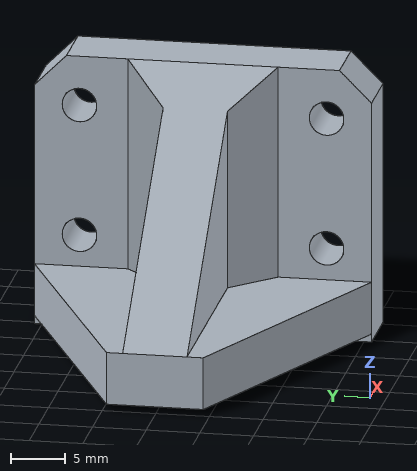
import cadquery as cq

total_length = 31.0
total_width = 31.4
total_height = 26.0
plate_thickness = 6.0
plate_chamfer = 2.98
base_thickness = 5.0
base_lift = 0.8
nose_width = 9.0
rib_width = 6.0
flare_length = 4.0
flare_width = 14.0
hole_diameter = 3.2
hole_spacing_y = 23.02
hole_spacing_z = 12.5
lower_hole_height = 8.8

plate_front = total_length - plate_thickness
base_top = base_lift + base_thickness


def symmetric_prism(half_outline, bottom, height):
    """Extrude upward a plan outline given by its (x, half width) points."""
    mirrored = [(x, -y) for x, y in reversed(half_outline)]
    return (
        cq.Workplane("XY")
        .workplane(offset=bottom)
        .polyline(half_outline + mirrored)
        .close()
        .extrude(height)
    )


def make_plate():
    """Upright plate with chamfered top corners and four through holes."""
    plate = (
        cq.Workplane("XY")
        .box(plate_thickness, total_width, total_height, centered=(False, True, False))
        .translate((plate_front, 0, 0))
        .edges("|X and >Z")
        .chamfer(plate_chamfer)
    )
    hole_centers = [
        (side * hole_spacing_y / 2, lower_hole_height + row * hole_spacing_z)
        for side in (-1, 1)
        for row in (0, 1)
    ]
    holes = (
        cq.Workplane("YZ")
        .workplane(offset=plate_front)
        .pushPoints(hole_centers)
        .circle(hole_diameter / 2)
        .extrude(plate_thickness)
    )
    return plate.cut(holes)


def make_base():
    """Flat base tapering from the full plate width to the nose."""
    outline = [(0, nose_width / 2), (plate_front, total_width / 2)]
    return symmetric_prism(outline, base_lift, base_thickness)


def make_rib():
    """Triangular central rib that flares out where it meets the plate."""
    outline = [
        (0, rib_width / 2),
        (plate_front - flare_length, rib_width / 2),
        (plate_front, flare_width / 2),
    ]
    block = symmetric_prism(outline, base_top, total_height - base_top)
    slope = (
        cq.Workplane("XZ")
        .polyline([(0, base_top), (plate_front, base_top), (plate_front, total_height)])
        .close()
        .extrude(flare_width / 2, both=True)
    )
    return block.intersect(slope)


result = make_plate().union(make_base()).union(make_rib())